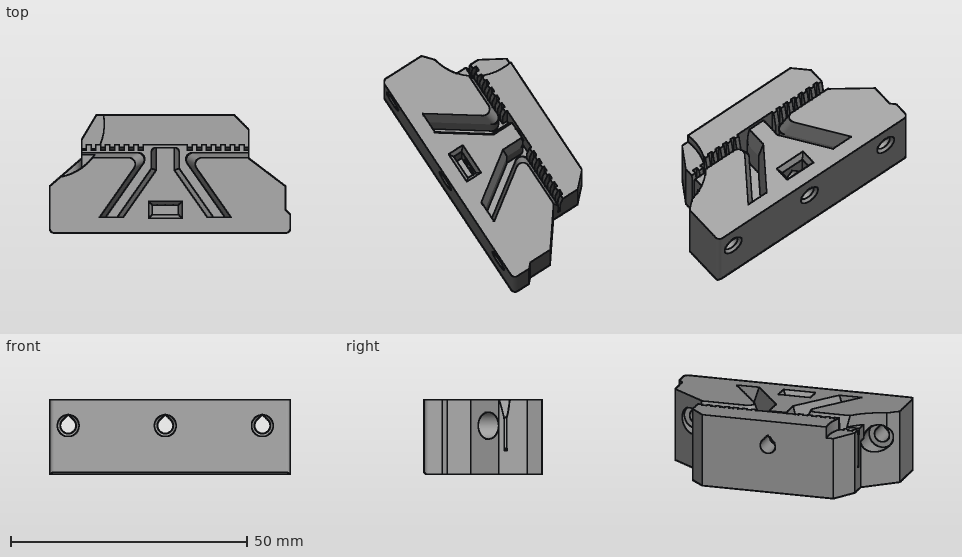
import cadquery as cq
import math


HEIGHT = 15.8
DEPTH = 25.0
LEFT_X = -24.5
RIGHT_X = 25.5
LUG_LENGTH = 1.0
LUG_TOP_Y = 3.9
SHOULDER_Y = 9.9
NECK_Y = 15.8
NECK_HALF = 17.7
LEFT_HEAD_CHAMFER = (3.1, 5.2)
RIGHT_HEAD_CHAMFER = 3.1
CORNER_RADIUS = 1.0
BOTTOM_CHAMFER = 0.45

HOLE_PITCH = 20.55
HOLE_Z = 10.3
HOLE_RADIUS = 1.65
SINK_RADIUS = 2.3
HEAD_BORE_RADIUS = 2.84
HEAD_SEAT_Y = 10.0
HEAD_BORE_END_Y = 16.0

SLOT_FLOOR_Z = 5.07
DRAFT_START_Z = 11.9
DRAFT_ANGLE = 15.0
SLOT_FRONT_Y = 17.0
SLOT_BACK_Y = 18.65
SLOT_END_Y = 3.3
LEG_ANGLE = 35.0
LEG_OUTER_HALF = 12.65
LEG_INNER_HALF = 10.2
LEG_FILLET = 1.5

TONGUE_HALF = 2.95
TONGUE_END_Y = 18.1
TONGUE_FILLET = 1.0
TONGUE_GAP = 0.35

TEETH_PER_SIDE = 7
TOOTH_PITCH = 2.0
TOOTH_WIDTH = 1.0
FIRST_TOOTH_X = NECK_HALF - TOOTH_WIDTH / 2 - (TEETH_PER_SIDE - 1) * TOOTH_PITCH
TOOTH_LOW_Y = 17.55
TOOTH_TOP_Y = 18.2

RELIEF_X = -24.35
RELIEF_Y = 23.1
RELIEF_RADIUS = 11.45
RELIEF_FLOOR_Z = 13.36

POCKET_LENGTH = 5.5
POCKET_WIDTH = 2.0
POCKET_Y = 4.92
POCKET_FLARE = 0.8
POCKET_FLARE_DEPTH = 1.43
POCKET_FLOOR_Z = HOLE_Z - POCKET_LENGTH / 2

LEG_SLOPE = math.tan(math.radians(LEG_ANGLE))
REACH = 40.0
OVERRUN = 10.0


def box(x0, x1, y0, y1, z0, z1):
    """Box given by its limits along each axis."""
    return cq.Workplane("XY").box(x1 - x0, y1 - y0, z1 - z0, centered=False).translate((x0, y0, z0))


def make_body():
    lug_x = RIGHT_X + LUG_LENGTH
    chamfer_x, chamfer_y = LEFT_HEAD_CHAMFER
    outline = [
        (LEFT_X, 0),
        (lug_x, 0),
        (lug_x, LUG_TOP_Y),
        (RIGHT_X, LUG_TOP_Y + LUG_LENGTH),
        (RIGHT_X, SHOULDER_Y),
        (NECK_HALF, NECK_Y),
        (NECK_HALF, DEPTH - RIGHT_HEAD_CHAMFER),
        (NECK_HALF - RIGHT_HEAD_CHAMFER, DEPTH),
        (chamfer_x - NECK_HALF, DEPTH),
        (-NECK_HALF, DEPTH - chamfer_y),
        (-NECK_HALF, NECK_Y),
        (LEFT_X, SHOULDER_Y),
    ]
    body = cq.Workplane("XY").polyline(outline).close().extrude(HEIGHT)
    body = body.edges("|Z and <Y").fillet(CORNER_RADIUS)
    bevel = [(0, 0), (BOTTOM_CHAMFER, 0), (0, BOTTOM_CHAMFER)]
    return body.cut(cq.Workplane("YZ").polyline(bevel).close().extrude(REACH, both=True))


def mirrored(right):
    """Closed outline from its right half, repeated on the left of X = 0."""
    return right + [(-x, y) for x, y in reversed(right)]


def upright(outline, z0, z1):
    """Straight prism of an outline between two heights."""
    return cq.Workplane("XY").workplane(offset=z0).polyline(outline).close().extrude(z1 - z0)


def fillet_leg_corners(stage):
    """Round the two corners where the legs join the cross slot."""
    near_corners = cq.selectors.BoxSelector(
        (-LEG_OUTER_HALF, SLOT_END_Y, 0), (LEG_OUTER_HALF, SLOT_BACK_Y, HEIGHT)
    )
    return stage.edges(near_corners).edges("not #Z").fillet(LEG_FILLET)


def make_tongue():
    start_y = SLOT_END_Y - OVERRUN

    def outline(end_y, inset):
        half = TONGUE_HALF - inset
        leg_half = LEG_INNER_HALF - inset / math.cos(math.radians(LEG_ANGLE))
        bend_y = SLOT_END_Y + (leg_half - half) / LEG_SLOPE
        start_half = leg_half + OVERRUN * LEG_SLOPE
        return mirrored([(start_half, start_y), (half, bend_y), (half, end_y)])

    draft_height = HEIGHT - DRAFT_START_Z
    top_inset = draft_height * math.tan(math.radians(DRAFT_ANGLE))
    lower = upright(outline(REACH, 0), SLOT_FLOOR_Z, DRAFT_START_Z)
    upper = cq.Workplane("XY", origin=(0, 0, DRAFT_START_Z)).polyline(outline(REACH, 0)).close()
    upper = upper.workplane(offset=draft_height).polyline(outline(REACH, top_inset)).close().loft(ruled=True)
    envelope = upright(outline(TONGUE_END_Y, 0), SLOT_FLOOR_Z, HEIGHT)
    envelope = envelope.edges("|Z and >Y").fillet(TONGUE_FILLET)
    gap_y = SLOT_END_Y + (LEG_INNER_HALF - TONGUE_HALF) / LEG_SLOPE
    gap = box(-TONGUE_HALF, TONGUE_HALF, gap_y, REACH, SLOT_FLOOR_Z, SLOT_FLOOR_Z + TONGUE_GAP)
    return lower.union(upper).intersect(envelope).cut(gap)


def make_teeth():
    profile = [
        (SLOT_BACK_Y, SLOT_FLOOR_Z),
        (TOOTH_LOW_Y, SLOT_FLOOR_Z),
        (TOOTH_LOW_Y, DRAFT_START_Z),
        (TOOTH_TOP_Y, HEIGHT),
        (SLOT_BACK_Y, HEIGHT),
    ]
    tooth = cq.Workplane("YZ").polyline(profile).close().extrude(TOOTH_WIDTH / 2, both=True)
    teeth = cq.Workplane("XY")
    for side in (-1, 1):
        for index in range(TEETH_PER_SIDE):
            x = side * (FIRST_TOOTH_X + index * TOOTH_PITCH)
            teeth = teeth.add(tooth.translate((x, 0, 0)))
    return teeth.combine()


def make_slot():
    start_half = LEG_OUTER_HALF + OVERRUN * LEG_SLOPE
    corner_half = LEG_OUTER_HALF - (SLOT_FRONT_Y - SLOT_END_Y) * LEG_SLOPE
    outline = mirrored([
        (start_half, SLOT_END_Y - OVERRUN),
        (corner_half, SLOT_FRONT_Y),
        (REACH, SLOT_FRONT_Y),
        (REACH, REACH),
    ])
    lower = fillet_leg_corners(upright(outline, SLOT_FLOOR_Z, DRAFT_START_Z))
    upper = cq.Workplane("XY", origin=(0, 0, DRAFT_START_Z)).polyline(outline).close()
    upper = fillet_leg_corners(upper.extrude(HEIGHT - DRAFT_START_Z, taper=-DRAFT_ANGLE))
    limits = box(-REACH, REACH, SLOT_END_Y, SLOT_BACK_Y, SLOT_FLOOR_Z, HEIGHT)
    void = lower.union(upper).intersect(limits)
    return void.cut(make_tongue()).cut(make_teeth())


def y_cylinder(radius, y0, y1):
    """Cylinder along Y at the height of the screw holes."""
    start = cq.Workplane("XZ", origin=(0, y0, HOLE_Z))
    return start.circle(radius).extrude(y0 - y1)


def make_screw_hole():
    tangent = HOLE_RADIUS * math.sqrt(0.5)
    apex = HOLE_RADIUS * math.sqrt(2)
    section = (
        cq.Workplane("XZ", origin=(0, 0, HOLE_Z))
        .moveTo(-tangent, tangent)
        .threePointArc((0, -HOLE_RADIUS), (tangent, tangent))
        .lineTo(0, apex)
        .close()
        .extrude(-DEPTH)
    )
    sink_depth = SINK_RADIUS - HOLE_RADIUS
    sink = cq.Workplane(
        cq.Solid.makeCone(SINK_RADIUS, HOLE_RADIUS, sink_depth, cq.Vector(0, 0, HOLE_Z), cq.Vector(0, 1, 0))
    )
    return section.union(sink)


def cut_screw_holes(body):
    hole = make_screw_hole()
    head_bore = y_cylinder(HEAD_BORE_RADIUS, HEAD_SEAT_Y, HEAD_BORE_END_Y)
    for x in (-HOLE_PITCH, 0, HOLE_PITCH):
        body = body.cut(hole.translate((x, 0, 0)))
    for x in (-HOLE_PITCH, HOLE_PITCH):
        body = body.cut(head_bore.translate((x, 0, 0)))
    return body


def cut_relief(body):
    round_cut = cq.Workplane("XY").center(RELIEF_X, RELIEF_Y).circle(RELIEF_RADIUS).extrude(HEIGHT)
    ledge = box(-REACH, 0, 0, DEPTH, RELIEF_FLOOR_Z, HEIGHT)
    beside_head = box(-REACH, -NECK_HALF, 0, DEPTH, HOLE_Z, HEIGHT)
    return body.cut(round_cut.intersect(ledge)).cut(round_cut.intersect(beside_head))


def make_pocket():
    flare_z = HEIGHT - POCKET_FLARE_DEPTH
    top_length = POCKET_LENGTH + 2 * POCKET_FLARE
    top_width = POCKET_WIDTH + 2 * POCKET_FLARE
    mouth = cq.Workplane("XY", origin=(0, POCKET_Y, flare_z)).rect(POCKET_LENGTH, POCKET_WIDTH)
    mouth = mouth.workplane(offset=POCKET_FLARE_DEPTH).rect(top_length, top_width).loft(ruled=True)
    shaft = cq.Workplane("XY", origin=(0, POCKET_Y, POCKET_FLOOR_Z)).rect(POCKET_LENGTH, POCKET_WIDTH)
    return mouth.union(shaft.extrude(flare_z - POCKET_FLOOR_Z))


result = make_body().cut(make_slot())
result = cut_screw_holes(result)
result = cut_relief(result)
result = result.cut(make_pocket())